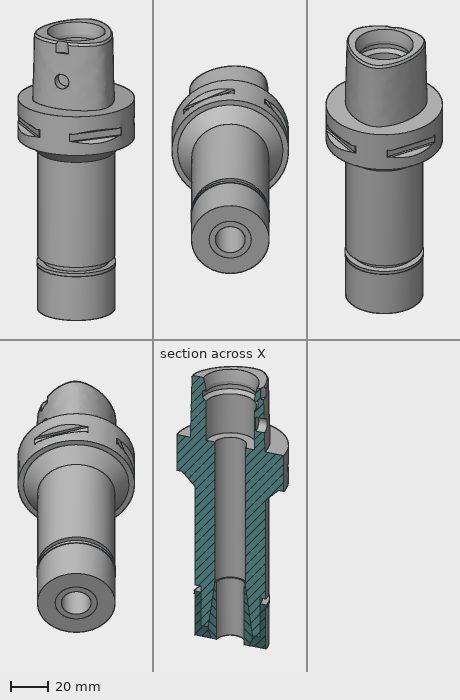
import cadquery as cq
import math


total_height = 158.0
shank_length = 37.9
flange_thickness = 22.1
flange_top = total_height - shank_length
flange_bottom = flange_top - flange_thickness

flange_diameter = 63.0
flange_radius = flange_diameter / 2
tube_radius = 20.9
shoulder_radius = 28.5
shoulder_bottom = flange_bottom - (shoulder_radius - tube_radius)

shank_base_radius = 22.1
shank_taper = 1 / 40
lobe_height = 1.6
outline_segments = 48
rim_chamfer_height = 1.5
rim_chamfer_width = 0.8

bore_mouth_radius = 15.6
bore_radius = 14.2
bore_depth = shank_length
bore_taper_depth = 6.6
groove_start_depth = 8.4
groove_end_depth = 14.2
groove_width = 2.0

notch_radius = 5.0
notch_inner_y = 18.0
notch_depth = 6.3
side_hole_radius = 4.1
side_hole_z = 135.7
side_hole_floor_y = 15.0

pocket_count = 4
first_pocket_angle = 45
pocket_floor_distance = 27.3
pocket_length = 30.2
pocket_floor_height = 4.3
pocket_mouth_height = 7.6
pocket_slope_distance = 28.8
pocket_z = 107.9

nut_height = 27.0
nut_radius = 21.0
nut_rim_radius = 21.3
nut_rim_height = 1.9

neck_radius = 17.5
neck_top = 30.3
nose_bottom = 6.3

collet_bore_radius = 8.0
collet_front_radius = 11.4
collet_radius = 13.0
collet_front_cone_height = 4.0
collet_taper_angle = 8.0
passage_diameter = 17.9
passage_radius = passage_diameter / 2
collet_taper_height = (collet_radius - passage_radius) / math.tan(math.radians(collet_taper_angle))
collet_top = nose_bottom + collet_taper_height


def revolved(points):
    """Solid of revolution about Z from (radius, z) points."""
    return cq.Workplane("XZ").polyline(points).close().revolve(360, (0, 0), (0, 1))


def shank_outline(mean_radius, z):
    """Closed three-lobed wire of constant width at height z."""

    def point(angle):
        support = mean_radius - lobe_height * math.sin(3 * angle)
        slope = -3 * lobe_height * math.cos(3 * angle)
        x = support * math.cos(angle) - slope * math.sin(angle)
        y = support * math.sin(angle) + slope * math.cos(angle)
        return cq.Vector(x, y, z)

    step = 2 * math.pi / outline_segments
    points = [point(i * step - math.pi / 2) for i in range(outline_segments)]
    return cq.Wire.assembleEdges([cq.Edge.makeSpline(points, periodic=True)])


def make_shank():
    chamfer_bottom = total_height - rim_chamfer_height
    radius_at_chamfer = shank_base_radius - shank_taper * (chamfer_bottom - flange_top)
    base = shank_outline(shank_base_radius, flange_top)
    chamfer_start = shank_outline(radius_at_chamfer, chamfer_bottom)
    rim = shank_outline(radius_at_chamfer - rim_chamfer_width, total_height)
    taper = cq.Solid.makeLoft([base, chamfer_start], True)
    chamfer = cq.Solid.makeLoft([chamfer_start, rim], True)
    return cq.Workplane(taper).union(cq.Workplane(chamfer))


def make_housing_bore():
    """Shank bore with its groove, the passage and the collet socket, as one cutting solid."""
    groove_radius = bore_radius + groove_width
    return revolved([
        (0, nose_bottom),
        (collet_radius, nose_bottom),
        (passage_radius, collet_top),
        (passage_radius, total_height - bore_depth),
        (bore_radius, total_height - bore_depth),
        (bore_radius, total_height - groove_end_depth),
        (groove_radius, total_height - groove_end_depth + groove_width),
        (groove_radius, total_height - groove_start_depth),
        (bore_radius, total_height - groove_start_depth),
        (bore_radius, total_height - bore_taper_depth),
        (bore_mouth_radius, total_height),
        (0, total_height),
    ])


def make_drive_notch():
    notch = cq.Workplane("XY", origin=(0, -notch_inner_y - notch_radius, total_height - notch_depth))
    return notch.circle(notch_radius).extrude(notch_depth)


def make_side_hole():
    hole = cq.Workplane("XZ", origin=(0, -side_hole_floor_y, side_hole_z))
    return hole.circle(side_hole_radius).extrude(flange_radius)


def make_gripper_pocket(angle):
    """Flat-bottomed pocket, its upper and lower sides flared at the mouth, facing the given direction."""
    half_floor = pocket_floor_height / 2
    half_mouth = pocket_mouth_height / 2
    profile = [
        (pocket_floor_distance, pocket_z - half_floor),
        (pocket_slope_distance, pocket_z - half_floor),
        (flange_radius, pocket_z - half_mouth),
        (flange_radius, pocket_z + half_mouth),
        (pocket_slope_distance, pocket_z + half_floor),
        (pocket_floor_distance, pocket_z + half_floor),
    ]
    pocket = cq.Workplane("XZ").polyline(profile).close().extrude(pocket_length / 2, both=True)
    return pocket.rotate((0, 0, 0), (0, 0, 1), angle)


def make_housing():
    body = revolved([
        (0, nose_bottom),
        (neck_radius, nose_bottom),
        (neck_radius, neck_top),
        (tube_radius, neck_top),
        (tube_radius, shoulder_bottom),
        (shoulder_radius, flange_bottom),
        (flange_radius, flange_bottom),
        (flange_radius, flange_top),
        (0, flange_top),
    ])
    body = body.union(make_shank())
    body = body.cut(make_housing_bore())
    body = body.cut(make_drive_notch())
    body = body.cut(make_side_hole())
    for i in range(pocket_count):
        body = body.cut(make_gripper_pocket(first_pocket_angle + i * 360 / pocket_count))
    return body


def make_collet():
    return revolved([
        (collet_bore_radius, 0),
        (collet_front_radius, 0),
        (collet_radius, collet_front_cone_height),
        (collet_radius, nose_bottom),
        (passage_radius, collet_top),
        (collet_bore_radius, collet_top),
    ])


def make_nut():
    """Nut with a front cone that holds the collet and a socket for the housing nose."""
    rim_bottom = nut_height - nut_rim_height
    return revolved([
        (collet_front_radius, 0),
        (nut_radius, 0),
        (nut_radius, rim_bottom),
        (nut_rim_radius, rim_bottom),
        (nut_rim_radius, nut_height),
        (neck_radius, nut_height),
        (neck_radius, nose_bottom),
        (collet_radius, nose_bottom),
        (collet_radius, collet_front_cone_height),
    ])


housing = make_housing()
collet = make_collet()
nut = make_nut()

result = cq.Compound.makeCompound([housing.solids().val(), collet.val(), nut.val()])